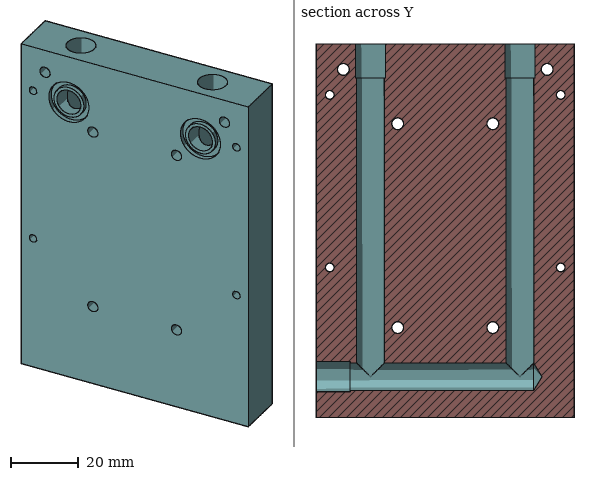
import cadquery as cq

WIDTH = 76.0
THICKNESS = 15.0
HEIGHT = 110.0
TOP = HEIGHT / 2
FRONT = -THICKNESS / 2

CHANNEL_DIAMETER = 8.0
MOUTH_DIAMETER = 8.8
MOUTH_DEPTH = 10.0
CHANNEL_SPACING = 44.0
CROSS_CHANNEL_HEIGHT = 12.0
CROSS_CHANNEL_Z = CROSS_CHANNEL_HEIGHT - TOP
CROSS_CHANNEL_LENGTH = WIDTH / 2 + CHANNEL_SPACING / 2 + CHANNEL_DIAMETER / 2
DRILL_TIP_LENGTH = 2.4

PORT_DIAMETER = CHANNEL_DIAMETER
PORT_Z = TOP - 15.5
GROOVE_INNER_DIAMETER = 10.0
GROOVE_OUTER_DIAMETER = 13.4
GROOVE_DEPTH = 1.5

SCREW_DIAMETER = 3.4
SCREW_OFFSET = 8.0
INNER_SCREW_SPACING = CHANNEL_SPACING - 2 * SCREW_OFFSET
OUTER_SCREW_SPACING = CHANNEL_SPACING + 2 * SCREW_OFFSET
SCREW_PITCH = 60.0
EDGE_HOLE_DIAMETER = 2.5
EDGE_HOLE_SPACING = 68.0
EDGE_HOLE_Z = TOP - 15.0
EDGE_HOLE_PITCH = 50.8


def cylinder(diameter, length, start, direction):
    """Cylinder of the given length from a start point along a direction."""
    return cq.Workplane(cq.Solid.makeCylinder(diameter / 2, length, start, direction))


def cylinder_from_front(diameter, x, z, depth):
    """Cylinder that starts on the front face and runs into the plate."""
    return cylinder(diameter, depth, cq.Vector(x, FRONT, z), cq.Vector(0, 1, 0))


def cut_channel(plate, start, direction, length):
    """Channel with a wider mouth at its start."""
    channel = cylinder(CHANNEL_DIAMETER, length, start, direction)
    mouth = cylinder(MOUTH_DIAMETER, MOUTH_DEPTH, start, direction)
    return plate.cut(channel).cut(mouth)


def cut_vertical_channel(plate, x):
    """Channel from the top face down to the axis of the cross channel."""
    start = cq.Vector(x, 0, TOP)
    return cut_channel(plate, start, cq.Vector(0, 0, -1), TOP - CROSS_CHANNEL_Z)


def cut_cross_channel(plate):
    """Blind channel from the -X side, ending in a drill tip."""
    direction = cq.Vector(1, 0, 0)
    start = cq.Vector(-WIDTH / 2, 0, CROSS_CHANNEL_Z)
    plate = cut_channel(plate, start, direction, CROSS_CHANNEL_LENGTH)
    tip_start = start + direction * CROSS_CHANNEL_LENGTH
    tip = cq.Solid.makeCone(CHANNEL_DIAMETER / 2, 0, DRILL_TIP_LENGTH, tip_start, direction)
    return plate.cut(cq.Workplane(tip))


def cut_port(plate, x):
    """Port reaching the vertical channel's axis, inside a sealing-ring groove."""
    port = cylinder_from_front(PORT_DIAMETER, x, PORT_Z, THICKNESS / 2)
    groove = cylinder_from_front(GROOVE_OUTER_DIAMETER, x, PORT_Z, GROOVE_DEPTH)
    groove = groove.cut(cylinder_from_front(GROOVE_INNER_DIAMETER, x, PORT_Z, GROOVE_DEPTH))
    return plate.cut(port).cut(groove)


def cut_hole_pair(plate, diameter, spacing, z):
    """Two holes through the thickness, mirrored about the middle."""
    for x in (-spacing / 2, spacing / 2):
        plate = plate.cut(cylinder_from_front(diameter, x, z, THICKNESS))
    return plate


result = cq.Workplane("XY").box(WIDTH, THICKNESS, HEIGHT)
result = cut_cross_channel(result)
for channel_x in (-CHANNEL_SPACING / 2, CHANNEL_SPACING / 2):
    result = cut_vertical_channel(result, channel_x)
    result = cut_port(result, channel_x)

upper_screw_z = PORT_Z + SCREW_OFFSET
middle_screw_z = PORT_Z - SCREW_OFFSET
result = cut_hole_pair(result, SCREW_DIAMETER, OUTER_SCREW_SPACING, upper_screw_z)
result = cut_hole_pair(result, SCREW_DIAMETER, INNER_SCREW_SPACING, middle_screw_z)
result = cut_hole_pair(result, SCREW_DIAMETER, INNER_SCREW_SPACING, middle_screw_z - SCREW_PITCH)

for edge_hole_z in (EDGE_HOLE_Z, EDGE_HOLE_Z - EDGE_HOLE_PITCH):
    result = cut_hole_pair(result, EDGE_HOLE_DIAMETER, EDGE_HOLE_SPACING, edge_hole_z)